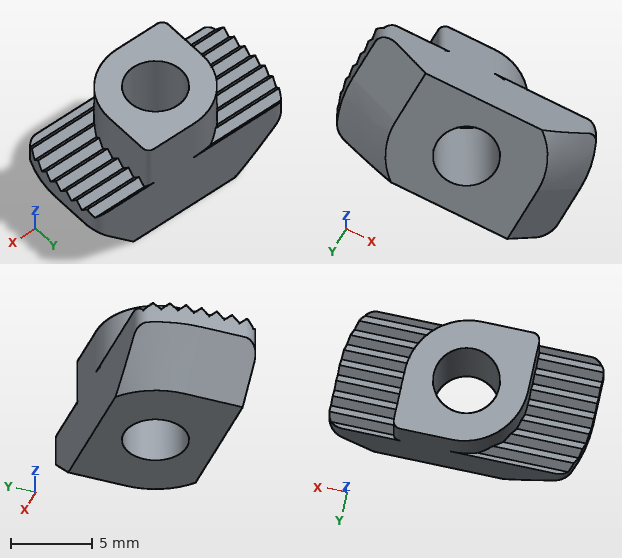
import cadquery as cq
import math

length = 16.0
width = 7.7
height = 7.5
shoulder_height = 3.0
wing_corner_radius = 1.0
tooth_tip_height = 4.5
teeth_per_length = 16
tooth_pitch = length / teeth_per_length
tooth_depth = tooth_pitch / 2
boss_turn_radius = 4.0
boss_corner_radius = 0.5
hole_diameter = 4.13

half_length = length / 2
half_width = width / 2
bottom_half_length = half_length - shoulder_height
swing_corner_x = math.sqrt(half_length**2 - half_width**2)


def make_turning_envelope():
    """Swing cone in two opposite quadrants, straight slopes in the other two."""
    profile = [
        (0, 0),
        (bottom_half_length, 0),
        (half_length, shoulder_height),
        (half_length, tooth_tip_height),
        (0, tooth_tip_height),
    ]
    cone = cq.Workplane("XZ").polyline(profile).close().revolve(360, (0, 0), (0, 1))
    slope = (
        cq.Workplane("XZ")
        .polyline([(-x, z) for x, z in profile])
        .close()
        .extrude(half_width)
    )
    opposite_slope = slope.rotate((0, 0, 0), (0, 0, 1), 180)
    return cone.union(slope).union(opposite_slope)


def make_plan_slab():
    """Plan outline: two swing arcs about the centre, and four rounded corners."""
    outline = (
        cq.Workplane("XY")
        .moveTo(-half_length, 0)
        .lineTo(-half_length, -half_width)
        .lineTo(swing_corner_x, -half_width)
        .radiusArc((half_length, 0), -half_length)
        .lineTo(half_length, half_width)
        .lineTo(-swing_corner_x, half_width)
        .radiusArc((-half_length, 0), -half_length)
        .close()
        .extrude(tooth_tip_height)
    )
    return outline.faces(">Y or <Y").edges("|Z").fillet(wing_corner_radius)


def cut_teeth(body):
    """V grooves along X, with a tooth tip on the centre line."""
    grooves_per_side = math.ceil(half_width / tooth_pitch)
    for index in range(-grooves_per_side, grooves_per_side):
        valley_y = (index + 0.5) * tooth_pitch
        groove = (
            cq.Workplane("YZ")
            .polyline([
                (valley_y - tooth_pitch / 2, tooth_tip_height),
                (valley_y, tooth_tip_height - tooth_depth),
                (valley_y + tooth_pitch / 2, tooth_tip_height),
            ])
            .close()
            .extrude(half_length, both=True)
        )
        body = body.cut(groove)
    return body


def make_boss():
    """Square boss with opposite corners rounded large and small."""
    block = (
        cq.Workplane("XY", origin=(0, 0, shoulder_height))
        .box(width, width, height - shoulder_height, centered=(True, True, False))
    )
    for corner, radius in (
        ("<(1, -1, 0)", boss_turn_radius),
        (">(1, -1, 0)", boss_turn_radius),
        ("<(1, 1, 0)", boss_corner_radius),
        (">(1, 1, 0)", boss_corner_radius),
    ):
        block = block.edges("|Z").edges(corner).fillet(radius)
    return block


wings = cut_teeth(make_plan_slab().intersect(make_turning_envelope()))
boss = make_boss()
hole = cq.Workplane("XY").circle(hole_diameter / 2).extrude(height)
result = wings.union(boss).cut(hole)